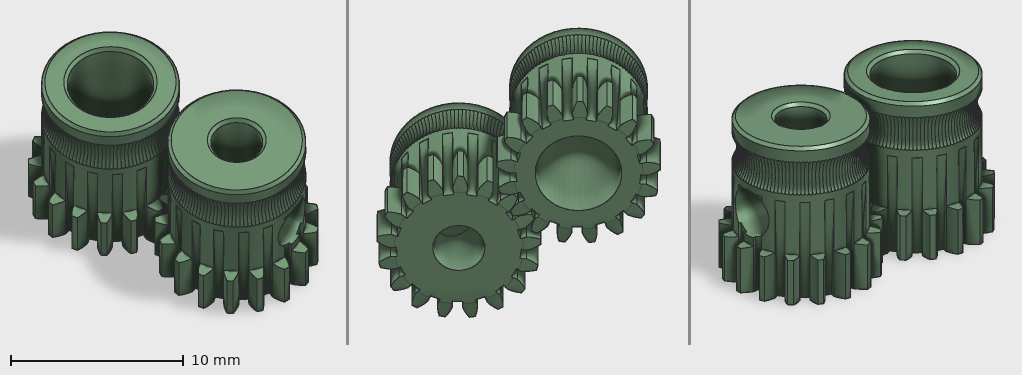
import cadquery as cq
import math

height = 10.0
barrel_diameter = 8.0
tip_diameter = 9.5
rim_chamfer = 0.2
tooth_height = 3.0
underside_flat_diameter = 7.49
underside_rise = 0.1

tooth_count = 17
tooth_pitch_angle = 360 / tooth_count
tip_half_angle = 2.1
flank_bulge = 0.04

slot_width = 0.6
slot_top = 6.43
slot_floor_radius_bottom = 3.6
slot_floor_radius_top = 3.98

groove_count = 109
groove_level = 8.0
groove_waist_radius = 3.67
groove_arc_radius = 1.98
scallop_radius = 0.135
band_height = 2.34
band_inner_radius = 3.24

center_distance = 8.55
idler_bore = 5.0
drive_bore = 3.0
set_screw_diameter = 3.0
set_screw_level = 5.0

barrel_radius = barrel_diameter / 2
tip_radius = tip_diameter / 2
cutter_reach = tip_radius + 0.18


def make_blank():
    """Barrel and toothed flange before any cutting, turned about Z."""
    return (
        cq.Workplane("XZ")
        .moveTo(0, 0)
        .lineTo(underside_flat_diameter / 2, 0)
        .lineTo(tip_radius, underside_rise)
        .lineTo(tip_radius, tooth_height)
        .lineTo(barrel_radius, tooth_height)
        .lineTo(barrel_radius, height - rim_chamfer)
        .lineTo(barrel_radius - rim_chamfer, height)
        .lineTo(0, height)
        .close()
        .revolve(360, (0, 0), (0, 1))
    )


def make_slot_cutter():
    """Straight-sided slot on +X whose floor leans inward toward the bottom."""
    return (
        cq.Workplane("XZ")
        .moveTo(slot_floor_radius_bottom, 0)
        .lineTo(slot_floor_radius_top, slot_top)
        .lineTo(cutter_reach, slot_top)
        .lineTo(cutter_reach, 0)
        .close()
        .extrude(slot_width / 2, both=True)
    )


def make_flank_cutter():
    """Flared part of a tooth gap on +X, between two convex flanks."""
    root_y = slot_width / 2
    root_x = math.sqrt(barrel_radius**2 - root_y**2)
    gap_half_angle = math.radians(tooth_pitch_angle / 2 - tip_half_angle)
    tip_x = tip_radius * math.cos(gap_half_angle)
    tip_y = tip_radius * math.sin(gap_half_angle)

    chord = math.hypot(tip_x - root_x, tip_y - root_y)
    middle_x = (root_x + tip_x) / 2 + flank_bulge * (tip_y - root_y) / chord
    middle_y = (root_y + tip_y) / 2 - flank_bulge * (tip_x - root_x) / chord
    return (
        cq.Workplane("XY")
        .moveTo(root_x, -root_y)
        .threePointArc((middle_x, -middle_y), (tip_x, -tip_y))
        .lineTo(cutter_reach, -tip_y)
        .lineTo(cutter_reach, tip_y)
        .lineTo(tip_x, tip_y)
        .threePointArc((middle_x, middle_y), (root_x, root_y))
        .close()
        .extrude(tooth_height)
    )


def make_scallop_cutter():
    """Round-rimmed disc standing on edge beside the barrel; it cuts one curved serration on +X."""
    disc_x = groove_waist_radius + groove_arc_radius
    rim_center_x = groove_waist_radius + scallop_radius
    return (
        cq.Workplane("XY", origin=(0, 0, groove_level))
        .moveTo(disc_x, -scallop_radius)
        .lineTo(rim_center_x, -scallop_radius)
        .threePointArc((groove_waist_radius, 0), (rim_center_x, scallop_radius))
        .lineTo(disc_x, scallop_radius)
        .close()
        .revolve(360, (disc_x, 0), (disc_x, 1))
    )


def make_band(sweep_angle):
    """Sector of the plain band that holds the filament groove, centred on +X."""
    middle_radius = (band_inner_radius + barrel_radius) / 2
    return (
        cq.Workplane("XZ")
        .center(middle_radius, groove_level)
        .rect(barrel_radius - band_inner_radius, band_height)
        .revolve(sweep_angle, (-middle_radius, 0), (-middle_radius, 1))
        .rotate((0, 0, 0), (0, 0, 1), -sweep_angle / 2)
    )


def make_serrated_band():
    """Full band joined from equal sectors with one serration each; a crest between two faces +X."""
    sector = make_band(360 / groove_count).cut(make_scallop_cutter()).val()
    first, *others = copies_around_axis(sector, groove_count, 180 / groove_count)
    return first.fuse(*others, glue=True).clean()


def copies_around_axis(shape, count, first_angle):
    """Equally spaced copies of a shape around Z."""
    axis_start = cq.Vector(0, 0, 0)
    axis_end = cq.Vector(0, 0, 1)
    return [shape.rotate(axis_start, axis_end, first_angle + i * 360 / count) for i in range(count)]


def make_hobbed_body():
    """Gear without its bore: a tooth on +X, slotted barrel and serrated groove."""
    gap_cutter = make_slot_cutter().union(make_flank_cutter()).val()
    gap_cutters = copies_around_axis(gap_cutter, tooth_count, tooth_pitch_angle / 2)
    toothed = make_blank().val().cut(*gap_cutters)
    return cq.Workplane(toothed).cut(make_band(360)).union(cq.Workplane(make_serrated_band()))


def make_bore_cutter(diameter):
    """Through bore with a chamfered mouth at the top."""
    bore_radius = diameter / 2
    return (
        cq.Workplane("XZ")
        .moveTo(0, 0)
        .lineTo(bore_radius, 0)
        .lineTo(bore_radius, height - rim_chamfer)
        .lineTo(bore_radius + rim_chamfer, height)
        .lineTo(0, height)
        .close()
        .revolve(360, (0, 0), (0, 1))
    )


def make_idler_gear(body):
    """Wide-bored gear, centred on the Z axis."""
    return body.cut(make_bore_cutter(idler_bore))


def make_drive_gear(body):
    """Narrow-bored gear with a set-screw hole from its +X side into the bore."""
    set_screw_hole = (
        cq.Workplane("YZ")
        .center(0, set_screw_level)
        .circle(set_screw_diameter / 2)
        .extrude(cutter_reach)
    )
    bored = body.cut(make_bore_cutter(drive_bore)).cut(set_screw_hole)
    return bored.translate((center_distance, 0, 0))


hobbed_body = make_hobbed_body()
idler_gear = make_idler_gear(hobbed_body).solids()
drive_gear = make_drive_gear(hobbed_body).solids()

result = cq.Compound.makeCompound([idler_gear.val(), drive_gear.val()])